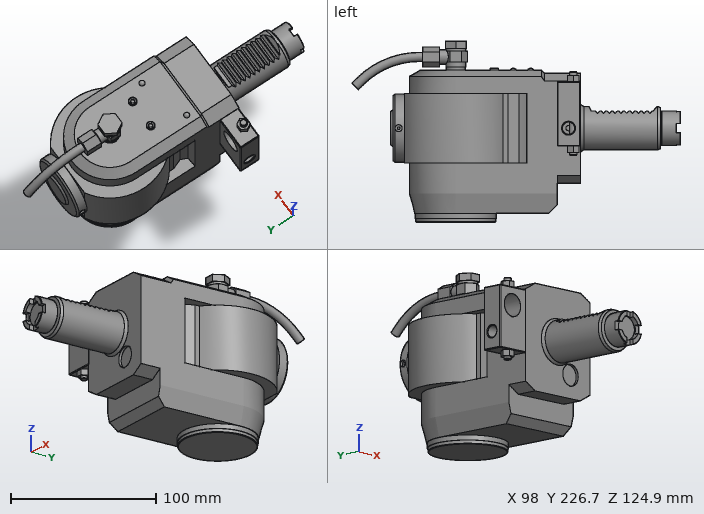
import math

import cadquery as cq


HALF_WIDTH = 32.0
ROUND_Y = 86.0
TOP_Z = 40.0
TOP_CHAMFER_IN = 7.4
TOP_CHAMFER_ANGLE = 60.0
TAPER_TOP_Z = -45.1
BOTTOM_Z = -58.7
TAPER_ANGLE = 15.0
LOWER_FRONT_Y = 16.0
LOWER_FRONT_CHAMFER = 6.0

FLANGE_LENGTH = 25.0
FLANGE_HALF_HEIGHT = 38.0
FLANGE_FLAT_HALF_WIDTH = 22.6
STEP_LENGTH = 2.0
PIN_HOLE_X, PIN_HOLE_Z = 12.6, -21.4
PIN_HOLE_RADIUS = 7.7
PIN_HOLE_DEPTH = 2.0

BASE_UPPER_RADIUS = 28.0
BASE_LOWER_RADIUS = 27.6
BASE_STEP_Z = -62.2
BASE_BOTTOM_Z = -64.9
BASE_CHAMFER = 0.5

WHEEL_RADIUS = 41.0
WHEEL_HALF_HEIGHT = 24.0
WHEEL_FLAT_Y = 121.5
POCKET_FRONT_Y = 36.8
POCKET_LEVEL_Y = 50.0
POCKET_DEEPEST_Y = 42.6
POCKET_LEVEL_DEPTH = 6.9
POCKET_GREATEST_DEPTH = 9.9
POCKET_WALL_FOOT_Y = 37.4
POCKET_WALL_DEPTH = 7.5
POCKET_HOLLOW_SAGITTA = 0.12

CAP_RADIUS = 23.6
CAP_END_Y = 129.4
CAP_CHAMFER = 1.4
BOSS_END_Y = 131.0
BOSS_BASE_RADIUS = 12.8
BOSS_END_RADIUS = 11.4
CAP_HOLE_Y = 125.4
CAP_HOLE_RADIUS = 2.4
CAP_HOLE_DEPTH = 2.0
CAP_PILOT_RADIUS = 0.9
CAP_PILOT_DEPTH = 4.0

COLLAR_RADIUS = 16.4
COLLAR_CONE_END = 2.3
SHANK_RADIUS = 15.0
SHANK_CONE_START = 53.0
SHANK_END = 55.2
SHANK_END_RADIUS = 14.2
GROOVE_RADIUS = 9.9
GROOVE_END = 55.7
COUPLING_RADIUS = 12.0
COUPLING_END = 69.0
COUPLING_CHAMFER = 0.4
COUPLING_BORE_RADIUS = 8.4
COUPLING_BORE_DEPTH = 4.0
SLOT_WIDTH = 6.2
SLOT_DEPTH = 3.0

TOOTH_TIP_Z = 12.0
TOOTH_DEPTH = 1.7
TOOTH_PITCH = 4.0
TOOTH_COUNT = 10
FIRST_VALLEY = 11.8
TEETH_WALL_TOP = 5.9
TEETH_WALL_FOOT = 7.3
TEETH_RUN_OUT_END = 52.7

BLOCK_OUTER_X = -57.0
BLOCK_FRONT_Y, BLOCK_REAR_Y = 0.3, 16.0
BLOCK_BOTTOM_Z, BLOCK_TOP_Z = -12.4, 32.1
BLOCK_CHAMFER = 0.6
BLOCK_BORE_Z = 19.1
BLOCK_BORE_RADIUS = 8.1
SIDE_HOLE_Y = 8.3
SIDE_HOLE_RADIUS = 4.2
SIDE_HOLE_CHAMFER = 0.6
SIDE_HOLE_DEPTH = 17.0
SIDE_PILOT_RADIUS = 1.8
SIDE_PILOT_DEPTH = 20.0
STUD_X, STUD_Y = -44.8, 5.05
STUD_RADIUS = 2.6
STUD_CHAMFER = 0.5
STUD_TOP_Z, STUD_BOTTOM_Z = 38.9, -18.7
STUD_HOLE_RADIUS = 1.9
STUD_HOLE_DEPTH = 2.0
STUD_NUT_FLATS = 8.1
STUD_NUT_HEIGHT = 4.2

SWIVEL_RADIUS = 6.9
SWIVEL_BASE_RADIUS = 6.6
SWIVEL_BASE_TOP_Z = 42.3
SWIVEL_HEX_BOTTOM_Z, SWIVEL_HEX_TOP_Z = 45.6, 53.1
SWIVEL_HEX_FLATS = 14.0
BOLT_HEX_BOTTOM_Z, BOLT_HEX_TOP_Z = 54.9, 60.0
BOLT_HEX_FLATS = 14.5
PIPE_Z = 49.1
NECK_RADIUS = 5.1
PIPE_NUT_FRONT_Y, PIPE_NUT_REAR_Y = 97.1, 108.9
PIPE_NUT_FLATS = 12.1
PIPE_RADIUS = 3.2
PIPE_BEND_START_Y = 111.0
PIPE_BEND_RADIUS = 58.0
PIPE_BEND_ANGLE = 45.0
PIPE_TIP_Y = 157.67

SOCKET_SCREW_X, SOCKET_SCREW_Y = 10.9, 59.4
SOCKET_SCREW_RADIUS = 3.0
SOCKET_FLATS = 2.8
HEAD_HEIGHT = 1.4
HEAD_CHAMFER = 0.4
DOME_RADIUS = 2.1
DOME_PLACES = [(18.6, 46.3), (-18.4, 34.4)]

Y_DIRECTION = cq.Vector(0, 1, 0)


def cylinder_z(radius, bottom, top, x=0.0, y=0.0):
    """Upright cylinder between two heights."""
    return cq.Workplane("XY", origin=(x, y, bottom)).circle(radius).extrude(top - bottom)


def cylinder_y(radius, front, rear, x=0.0, z=0.0):
    """Cylinder along Y between two Y places."""
    base = cq.Solid.makeCylinder(radius, rear - front, cq.Vector(x, front, z), Y_DIRECTION)
    return cq.Workplane(base)


def cylinder_from_left(radius, left_x, depth, y, z=0.0):
    """Cylinder that starts at left_x and runs along +X."""
    return cq.Workplane("YZ", origin=(left_x, y, z)).circle(radius).extrude(depth)


def hexagon_z(flats, bottom, top, x, y, turn=0.0):
    """Upright hexagonal prism, corners on the X axis unless turned."""
    corners = flats / math.cos(math.pi / 6)
    prism = cq.Workplane("XY").polygon(6, corners).extrude(top - bottom)
    return prism.rotate((0, 0, 0), (0, 0, 1), turn).translate((x, y, bottom))


def box(x_range, y_range, z_range):
    """Box from pairs of limits."""
    size = [high - low for low, high in (x_range, y_range, z_range)]
    corner = (x_range[0], y_range[0], z_range[0])
    return cq.Workplane("XY").box(*size, centered=False).translate(corner)


def stadium(z, front):
    """Housing outline: straight sides and a round rear end."""
    return (
        cq.Workplane("XY", origin=(0, 0, z))
        .moveTo(-HALF_WIDTH, front)
        .lineTo(HALF_WIDTH, front)
        .lineTo(HALF_WIDTH, ROUND_Y)
        .threePointArc((0, ROUND_Y + HALF_WIDTH), (-HALF_WIDTH, ROUND_Y))
        .close()
    )


def roof_points(top, flat_half_width):
    """Cross-section above the shank axis: a flat top whose sides fall at the roof slope."""
    drop = (HALF_WIDTH - flat_half_width) / math.tan(math.radians(TOP_CHAMFER_ANGLE))
    shoulder = top - drop
    return [
        (-HALF_WIDTH, 0),
        (-HALF_WIDTH, shoulder),
        (-flat_half_width, top),
        (flat_half_width, top),
        (HALF_WIDTH, shoulder),
        (HALF_WIDTH, 0),
    ]


def make_housing():
    """Round-ended housing with a chamfered top and a tapered lower end."""
    rear_of_step = FLANGE_LENGTH + STEP_LENGTH
    roof_height = TOP_CHAMFER_IN / math.tan(math.radians(TOP_CHAMFER_ANGLE))
    shoulder_z = TOP_Z - roof_height
    taper_height = TAPER_TOP_Z - BOTTOM_Z

    upper = stadium(TAPER_TOP_Z, rear_of_step).extrude(shoulder_z - TAPER_TOP_Z)
    roof = stadium(shoulder_z, 0).extrude(roof_height, taper=TOP_CHAMFER_ANGLE)
    roof = roof.intersect(
        box((-HALF_WIDTH, HALF_WIDTH), (rear_of_step, ROUND_Y + HALF_WIDTH), (shoulder_z, TOP_Z))
    )
    foot = stadium(TAPER_TOP_Z, 0).extrude(-taper_height, taper=TAPER_ANGLE)
    foot = foot.intersect(
        box((-HALF_WIDTH, HALF_WIDTH), (LOWER_FRONT_Y, ROUND_Y + HALF_WIDTH), (BOTTOM_Z, TAPER_TOP_Z))
    )
    lower_front = box((-HALF_WIDTH, HALF_WIDTH), (LOWER_FRONT_Y, rear_of_step), (TAPER_TOP_Z, 0))
    front_chamfer = (
        cq.Workplane("YZ")
        .moveTo(LOWER_FRONT_Y, BOTTOM_Z)
        .lineTo(LOWER_FRONT_Y + LOWER_FRONT_CHAMFER, BOTTOM_Z)
        .lineTo(LOWER_FRONT_Y, BOTTOM_Z + LOWER_FRONT_CHAMFER)
        .close()
        .extrude(HALF_WIDTH, both=True)
    )
    return upper.union(roof).union(foot).union(lower_front).cut(front_chamfer)


def make_flange():
    """Eight-sided flange block and the sloping step up to the housing roof."""
    flange_roof = roof_points(FLANGE_HALF_HEIGHT, FLANGE_FLAT_HALF_WIDTH)
    half = flange_roof[1:-1]
    outline = half + [(-x, -z) for x, z in half]
    flange = cq.Workplane("XZ").polyline(outline).close().extrude(-FLANGE_LENGTH)

    housing_roof = roof_points(TOP_Z, HALF_WIDTH - TOP_CHAMFER_IN)
    step = (
        cq.Workplane("XZ", origin=(0, FLANGE_LENGTH, 0))
        .polyline(flange_roof)
        .close()
        .workplane(offset=-STEP_LENGTH)
        .polyline(housing_roof)
        .close()
        .loft(ruled=True)
    )
    return flange.union(step)


def make_base():
    """Stepped round base under the housing."""
    upper = cylinder_z(BASE_UPPER_RADIUS, BASE_STEP_Z, BOTTOM_Z, y=ROUND_Y)
    lower = cylinder_z(BASE_LOWER_RADIUS, BASE_BOTTOM_Z, BASE_STEP_Z, y=ROUND_Y)
    return upper.union(lower.faces("<Z").chamfer(BASE_CHAMFER))


def make_pocket(side):
    """Clearance pocket in one side wall in front of the wheel; side is -1 or +1."""
    wall = side * HALF_WIDTH
    level_floor = side * (HALF_WIDTH - POCKET_LEVEL_DEPTH)
    deepest_floor = side * (HALF_WIDTH - POCKET_GREATEST_DEPTH)
    wall_foot = side * (HALF_WIDTH - POCKET_WALL_DEPTH)
    return (
        cq.Workplane("XY", origin=(0, 0, -WHEEL_HALF_HEIGHT))
        .moveTo(wall, POCKET_FRONT_Y)
        .lineTo(wall_foot, POCKET_WALL_FOOT_Y)
        .sagittaArc((deepest_floor, POCKET_DEEPEST_Y), side * POCKET_HOLLOW_SAGITTA)
        .lineTo(level_floor, POCKET_LEVEL_Y)
        .lineTo(level_floor, ROUND_Y)
        .lineTo(wall, ROUND_Y)
        .close()
        .extrude(2 * WHEEL_HALF_HEIGHT)
    )


def make_wheel():
    """Wheel housing with a flat at the rear."""
    wheel = cylinder_z(WHEEL_RADIUS, -WHEEL_HALF_HEIGHT, WHEEL_HALF_HEIGHT, y=ROUND_Y)
    front = ROUND_Y - WHEEL_RADIUS
    keep = box(
        (-WHEEL_RADIUS, WHEEL_RADIUS), (front, WHEEL_FLAT_Y), (-WHEEL_HALF_HEIGHT, WHEEL_HALF_HEIGHT)
    )
    return wheel.intersect(keep)


def make_cap():
    """Spindle cap on the wheel flat, with a raised conical boss and a spanner hole."""
    profile = [
        (0, WHEEL_FLAT_Y),
        (CAP_RADIUS, WHEEL_FLAT_Y),
        (CAP_RADIUS, CAP_END_Y - CAP_CHAMFER),
        (CAP_RADIUS - CAP_CHAMFER, CAP_END_Y),
        (BOSS_BASE_RADIUS, CAP_END_Y),
        (BOSS_END_RADIUS, BOSS_END_Y),
        (0, BOSS_END_Y),
    ]
    cap = cq.Workplane("XY").polyline(profile).close().revolve(360, (0, 0, 0), (0, 1, 0))
    hole = cylinder_from_left(CAP_HOLE_RADIUS, -CAP_RADIUS, CAP_HOLE_DEPTH, CAP_HOLE_Y)
    pilot = cylinder_from_left(CAP_PILOT_RADIUS, -CAP_RADIUS, CAP_PILOT_DEPTH, CAP_HOLE_Y)
    return cap.cut(hole).cut(pilot)


def make_teeth_cut():
    """Material removed from the top of the shank to leave a row of flat-tipped teeth."""
    valley_z = TOOTH_TIP_Z - TOOTH_DEPTH
    points = [(-TEETH_WALL_TOP, SHANK_RADIUS), (-TEETH_WALL_FOOT, TOOTH_TIP_Z)]
    tip_width = TOOTH_PITCH - 2 * TOOTH_DEPTH
    for tooth in range(TOOTH_COUNT):
        valley = FIRST_VALLEY + tooth * TOOTH_PITCH
        points.append((-(valley - TOOTH_DEPTH), TOOTH_TIP_Z))
        points.append((-valley, valley_z))
        points.append((-(valley + TOOTH_DEPTH), TOOTH_TIP_Z))
    points.append((-(valley + TOOTH_DEPTH + tip_width), TOOTH_TIP_Z))
    points.append((-TEETH_RUN_OUT_END, SHANK_RADIUS))
    return cq.Workplane("YZ").polyline(points).close().extrude(SHANK_RADIUS, both=True)


def make_shank():
    """Toothed shank with a collar and a slotted drive coupling at its end."""
    profile = [
        (0, 0),
        (COLLAR_RADIUS, 0),
        (SHANK_RADIUS, -COLLAR_CONE_END),
        (SHANK_RADIUS, -SHANK_CONE_START),
        (SHANK_END_RADIUS, -SHANK_END),
        (GROOVE_RADIUS, -SHANK_END),
        (GROOVE_RADIUS, -GROOVE_END),
        (COUPLING_RADIUS - COUPLING_CHAMFER, -GROOVE_END),
        (COUPLING_RADIUS, -(GROOVE_END + COUPLING_CHAMFER)),
        (COUPLING_RADIUS, -(COUPLING_END - COUPLING_CHAMFER)),
        (COUPLING_RADIUS - COUPLING_CHAMFER, -COUPLING_END),
        (0, -COUPLING_END),
    ]
    shank = cq.Workplane("XY").polyline(profile).close().revolve(360, (0, 0, 0), (0, 1, 0))
    shank = shank.cut(make_teeth_cut())
    slot_floor = SLOT_DEPTH - COUPLING_END
    bore_floor = COUPLING_BORE_DEPTH - COUPLING_END
    shank = shank.cut(cylinder_y(COUPLING_BORE_RADIUS, -COUPLING_END, bore_floor))
    long_side = (-COUPLING_RADIUS, COUPLING_RADIUS)
    short_side = (-SLOT_WIDTH / 2, SLOT_WIDTH / 2)
    for x_range, z_range in ((long_side, short_side), (short_side, long_side)):
        shank = shank.cut(box(x_range, (-COUPLING_END, slot_floor), z_range))
    return shank


def make_clamp_block():
    """Coolant clamp block with two bores and a nut-locked stud at each end."""
    block = box(
        (BLOCK_OUTER_X, -HALF_WIDTH), (BLOCK_FRONT_Y, BLOCK_REAR_Y), (BLOCK_BOTTOM_Z, BLOCK_TOP_Z)
    )
    block = block.edges("|X or (<X and (not |X))").chamfer(BLOCK_CHAMFER)
    block = block.cut(
        cylinder_from_left(SIDE_HOLE_RADIUS, BLOCK_OUTER_X, SIDE_HOLE_DEPTH, SIDE_HOLE_Y)
    )
    countersink = cylinder_from_left(
        SIDE_HOLE_RADIUS + SIDE_HOLE_CHAMFER, BLOCK_OUTER_X, 2 * SIDE_HOLE_CHAMFER, SIDE_HOLE_Y
    )
    countersink = countersink.faces(">X").chamfer(SIDE_HOLE_CHAMFER)
    block = block.cut(countersink.translate((-SIDE_HOLE_CHAMFER, 0, 0)))
    block = block.cut(
        cylinder_from_left(SIDE_PILOT_RADIUS, BLOCK_OUTER_X, SIDE_PILOT_DEPTH, SIDE_HOLE_Y)
    )
    stud = cylinder_z(STUD_RADIUS, STUD_BOTTOM_Z, STUD_TOP_Z, STUD_X, STUD_Y)
    block = block.union(stud.faces("<Z or >Z").chamfer(STUD_CHAMFER))
    nut_limits = (
        (BLOCK_TOP_Z, BLOCK_TOP_Z + STUD_NUT_HEIGHT),
        (BLOCK_BOTTOM_Z - STUD_NUT_HEIGHT, BLOCK_BOTTOM_Z),
    )
    for bottom, top in nut_limits:
        block = block.union(hexagon_z(STUD_NUT_FLATS, bottom, top, STUD_X, STUD_Y))
    block = block.cut(
        cylinder_y(BLOCK_BORE_RADIUS, BLOCK_FRONT_Y, BLOCK_REAR_Y, STUD_X, BLOCK_BORE_Z)
    )
    bore_floor = BLOCK_BORE_Z - BLOCK_BORE_RADIUS
    stud_hole = cylinder_z(
        STUD_HOLE_RADIUS, bore_floor - STUD_HOLE_DEPTH, BLOCK_BORE_Z, STUD_X, STUD_Y
    )
    return block.cut(stud_hole)


def make_swivel():
    """Upright swivel fitting: round body, hexagonal middle and a hexagon bolt head."""
    base = cylinder_z(SWIVEL_BASE_RADIUS, TOP_Z, SWIVEL_BASE_TOP_Z, y=ROUND_Y)
    body = cylinder_z(SWIVEL_RADIUS, SWIVEL_BASE_TOP_Z, BOLT_HEX_BOTTOM_Z, y=ROUND_Y)
    middle = hexagon_z(SWIVEL_HEX_FLATS, SWIVEL_HEX_BOTTOM_Z, SWIVEL_HEX_TOP_Z, 0, ROUND_Y, 30)
    head = hexagon_z(BOLT_HEX_FLATS, BOLT_HEX_BOTTOM_Z, BOLT_HEX_TOP_Z, 0, ROUND_Y)
    return base.union(body).union(middle).union(head)


def make_pipe():
    """Neck, union nut and coolant pipe that bends downwards to the rear."""
    neck = cylinder_y(NECK_RADIUS, ROUND_Y, PIPE_NUT_FRONT_Y, z=PIPE_Z)
    corners = PIPE_NUT_FLATS / math.cos(math.pi / 6)
    nut = (
        cq.Workplane("XZ", origin=(0, PIPE_NUT_FRONT_Y, PIPE_Z))
        .transformed(rotate=(0, 0, 90))
        .polygon(6, corners)
        .extrude(PIPE_NUT_FRONT_Y - PIPE_NUT_REAR_Y)
    )
    angle = math.radians(PIPE_BEND_ANGLE)
    bend_centre_z = PIPE_Z - PIPE_BEND_RADIUS

    def on_bend(turn):
        return (
            PIPE_BEND_START_Y + PIPE_BEND_RADIUS * math.sin(turn),
            bend_centre_z + PIPE_BEND_RADIUS * math.cos(turn),
        )

    bend_end = on_bend(angle)
    end_y = PIPE_TIP_Y - PIPE_RADIUS * math.sin(angle)
    end_z = bend_end[1] - (end_y - bend_end[0]) * math.tan(angle)
    path = (
        cq.Workplane("YZ")
        .moveTo(PIPE_NUT_REAR_Y, PIPE_Z)
        .lineTo(PIPE_BEND_START_Y, PIPE_Z)
        .threePointArc(on_bend(angle / 2), bend_end)
        .lineTo(end_y, end_z)
    )
    pipe = cq.Workplane("XZ", origin=(0, PIPE_NUT_REAR_Y, PIPE_Z)).circle(PIPE_RADIUS).sweep(path)
    return neck.union(nut).union(pipe)


def make_socket_screw(x):
    """Low socket screw head on the top face."""
    top = TOP_Z + HEAD_HEIGHT
    head = cylinder_z(SOCKET_SCREW_RADIUS, TOP_Z, top, x, SOCKET_SCREW_Y)
    head = head.faces(">Z").chamfer(HEAD_CHAMFER)
    return head.cut(hexagon_z(SOCKET_FLATS, TOP_Z, top, x, SOCKET_SCREW_Y))


def make_dome(x, y):
    """Shallow spherical button on the top face."""
    sphere_radius = (DOME_RADIUS**2 + HEAD_HEIGHT**2) / (2 * HEAD_HEIGHT)
    sphere_z = TOP_Z + HEAD_HEIGHT - sphere_radius
    return cq.Workplane("XY").sphere(sphere_radius).translate((x, y, sphere_z))


def make_part():
    """Whole tool holder as one solid."""
    part = make_housing().union(make_flange()).union(make_base())
    for side in (-1, 1):
        part = part.cut(make_pocket(side))
    part = part.union(make_wheel()).union(make_cap())
    part = part.cut(cylinder_y(PIN_HOLE_RADIUS, 0, PIN_HOLE_DEPTH, PIN_HOLE_X, PIN_HOLE_Z))
    part = part.union(make_shank()).union(make_clamp_block())
    part = part.union(make_swivel()).union(make_pipe())
    for side in (-1, 1):
        part = part.union(make_socket_screw(side * SOCKET_SCREW_X))
    for x, y in DOME_PLACES:
        part = part.union(make_dome(x, y))
    return part


result = make_part()